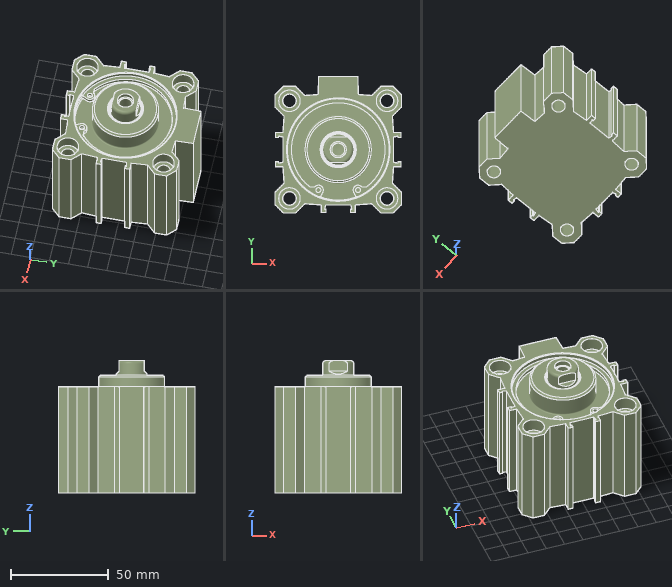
import cadquery as cq
import math

body_height = 54.5
total_height = 68.0

hole_spacing = 50.0
ear_width = 15.0
wall_half_width = 28.4
wall_half_width_at_ear = 27.8

rail_outer = 8.8
rail_hook = 6.15
rail_root = 6.4
rail_neck = 6.85
rail_tip = 32.25
hook_height = 1.75

port_face = 37.5
port_width = 20.2
port_root_width = 20.8

mount_hole_diameter = 6.8
counterbore_diameter = 11.0
counterbore_depth = 7.0

mouth_diameter = 52.2
mouth_chamfer = 0.4
ring_diameter = 55.2
ring_top = 51.7
ring_thickness = 2.2
seat_diameter = 51.8
seat_floor = 40.0

ring_inner_diameter = 48.0
lug_x = 10.15
lug_y = -20.7
lug_radius = 2.5
lug_hole_diameter = 2.5
lug_shoulder = 1.45
end_angle = math.radians(27)

collar_diameter = 33.9
collar_height = 6.0
collar_chamfer = 1.0
collar_base_fillet = 0.75
wiper_diameter = 17.7
wiper_chamfer = 0.4
wiper_depth = 1.0
lip_diameter = 16.54
lip_depth = 0.6
lip_chamfer = 0.3

rod_diameter = 16.0
rod_fillet = 1.75
flats_width = 13.0
flat_length = 5.5
thread_diameter = 6.65
thread_depth = 15.0
drill_point_angle = math.radians(170)
thread_counterbore_diameter = 8.25
thread_counterbore_depth = 3.0

ear_center = hole_spacing / 2
ear_face = ear_center + ear_width / 2
ear_half_edge = ear_width / 2 * math.tan(math.pi / 8)
ear_near = ear_center - ear_half_edge
ear_far = ear_center + ear_half_edge
ear_root = wall_half_width_at_ear - (ear_face - ear_near)
ring_bottom = ring_top - ring_thickness
cover_top = body_height + collar_height


def cylinder(diameter, bottom, top):
    return cq.Workplane("XY").workplane(offset=bottom).circle(diameter / 2).extrude(top - bottom)


def lead_in_cone(bore_diameter, chamfer, top):
    """Cutter that breaks the upper edge of a bore at 45 degrees."""
    return (
        cq.Workplane("XY").workplane(offset=top)
        .circle(bore_diameter / 2 + chamfer)
        .extrude(-chamfer, taper=45)
    )


def tube_outline():
    """Corner points of one quarter (+X side to the +Y side), turned four times."""
    quarter = [
        (wall_half_width, rail_outer),
        (wall_half_width_at_ear, ear_root),
        (ear_face, ear_near),
        (ear_face, ear_far),
        (ear_far, ear_face),
        (ear_near, ear_face),
        (ear_root, wall_half_width_at_ear),
        (rail_outer, wall_half_width),
    ]
    points = []
    for _ in range(4):
        points += quarter
        quarter = [(-y, x) for x, y in quarter]
    return points


def rail_pair():
    """Two facing hooked rails on the +X wall."""
    root = wall_half_width_at_ear
    hook_base = rail_tip - hook_height
    section = [
        (root, rail_outer),
        (rail_tip, rail_outer),
        (rail_tip, rail_hook),
        (hook_base, rail_hook),
        (hook_base, rail_neck),
        (wall_half_width, rail_root),
        (root, rail_root),
    ]
    rail = cq.Workplane("XY").polyline(section).close().extrude(body_height)
    return rail.union(rail.mirror("XZ"))


def port_block():
    section = [
        (-port_root_width / 2, wall_half_width_at_ear),
        (-port_width / 2, port_face),
        (port_width / 2, port_face),
        (port_root_width / 2, wall_half_width_at_ear),
    ]
    return cq.Workplane("XY").polyline(section).close().extrude(body_height)


def make_tube():
    tube = cq.Workplane("XY").polyline(tube_outline()).close().extrude(body_height)
    for side_angle in (0, 180, 270):
        tube = tube.union(rail_pair().rotate((0, 0, 0), (0, 0, 1), side_angle))
    tube = tube.union(port_block())
    tube = (
        tube.faces(">Z").workplane(origin=(0, 0, body_height))
        .rect(hole_spacing, hole_spacing, forConstruction=True).vertices()
        .cboreHole(mount_hole_diameter, counterbore_diameter, counterbore_depth)
    )
    mouth = cylinder(mouth_diameter, ring_top, body_height)
    lead_in = lead_in_cone(mouth_diameter, mouth_chamfer, body_height)
    groove = cylinder(ring_diameter, ring_bottom, ring_top)
    seat = cylinder(seat_diameter, seat_floor, ring_bottom)
    return tube.cut(mouth).cut(lead_in).cut(groove).cut(seat)


def make_retaining_ring():
    outer_radius = ring_diameter / 2
    inner_radius = ring_inner_diameter / 2

    tangent_x = lug_x - lug_radius * math.cos(end_angle)
    tangent_y = lug_y - lug_radius * math.sin(end_angle)
    along_x = math.sin(end_angle)
    along_y = -math.cos(end_angle)
    half_b = tangent_x * along_x + tangent_y * along_y
    c = tangent_x**2 + tangent_y**2 - outer_radius**2
    run = -half_b + math.sqrt(half_b**2 - c)
    rim_x = tangent_x + run * along_x
    rim_y = tangent_y + run * along_y

    shoulder_y = lug_y + lug_shoulder
    lug_side_x = lug_x + math.sqrt(lug_radius**2 - lug_shoulder**2)
    inner_x = math.sqrt(inner_radius**2 - shoulder_y**2)

    lean = math.pi / 4
    mid_x = lug_x - lug_radius * math.sin(lean)
    mid_y = lug_y + lug_radius * math.cos(lean)

    ring = (
        cq.Workplane("XY").workplane(offset=ring_bottom)
        .moveTo(rim_x, rim_y)
        .threePointArc((0, outer_radius), (-rim_x, rim_y))
        .lineTo(-tangent_x, tangent_y)
        .threePointArc((-mid_x, mid_y), (-lug_side_x, shoulder_y))
        .lineTo(-inner_x, shoulder_y)
        .threePointArc((0, inner_radius), (inner_x, shoulder_y))
        .lineTo(lug_side_x, shoulder_y)
        .threePointArc((mid_x, mid_y), (tangent_x, tangent_y))
        .close()
        .extrude(ring_thickness)
    )
    holes = (
        cq.Workplane("XY").workplane(offset=ring_bottom)
        .pushPoints([(-lug_x, lug_y), (lug_x, lug_y)])
        .circle(lug_hole_diameter / 2)
        .extrude(ring_thickness)
    )
    return ring.cut(holes)


def make_cover():
    flange = cylinder(seat_diameter, seat_floor, ring_bottom)
    collar = cylinder(collar_diameter, ring_bottom, cover_top).faces(">Z").chamfer(collar_chamfer)
    cover = flange.union(collar)
    flange_top_edges = cover.faces(cq.selectors.NearestToPointSelector((0, 0, ring_bottom))).edges()
    cover = flange_top_edges.edges(cq.selectors.RadiusNthSelector(0)).fillet(collar_base_fillet)

    cover = cover.cut(cylinder(rod_diameter, seat_floor, cover_top))

    lip_top = cover_top - lip_depth
    cover = cover.cut(cylinder(wiper_diameter, lip_top, cover_top))
    cover = cover.cut(lead_in_cone(wiper_diameter, wiper_chamfer, cover_top))
    cover = cover.cut(cylinder(lip_diameter, cover_top - wiper_depth, lip_top))
    return cover.cut(lead_in_cone(lip_diameter, lip_chamfer, lip_top))


def wrench_flat():
    """Cutter for the flat on the -Y side; its foot slopes outward and down at 45 degrees."""
    flat_y = flats_width / 2
    foot = total_height - flat_length
    reach = rod_diameter - flat_y
    section = [
        (-flat_y, total_height),
        (-flat_y, foot),
        (-flat_y - reach, foot - reach),
        (-flat_y - reach, total_height),
    ]
    return cq.Workplane("YZ").polyline(section).close().extrude(rod_diameter / 2, both=True)


def thread_bore():
    thread_radius = thread_diameter / 2
    counterbore_radius = thread_counterbore_diameter / 2
    step = total_height - thread_counterbore_depth
    bottom = total_height - thread_depth
    tip = bottom - thread_radius / math.tan(drill_point_angle / 2)
    section = [
        (0, total_height),
        (counterbore_radius, total_height),
        (counterbore_radius, step),
        (thread_radius, step),
        (thread_radius, bottom),
        (0, tip),
    ]
    return cq.Workplane("XZ").polyline(section).close().revolve(360, (0, 0, 0), (0, 1, 0))


def make_rod():
    rod = cylinder(rod_diameter, seat_floor, total_height).faces(">Z").edges().fillet(rod_fillet)
    rod = rod.cut(wrench_flat()).cut(wrench_flat().mirror("XZ"))
    return rod.cut(thread_bore())


tube = make_tube()
retaining_ring = make_retaining_ring()
cover = make_cover()
rod = make_rod()

result = cq.Compound.makeCompound([tube.val(), retaining_ring.val(), cover.val(), rod.val()])